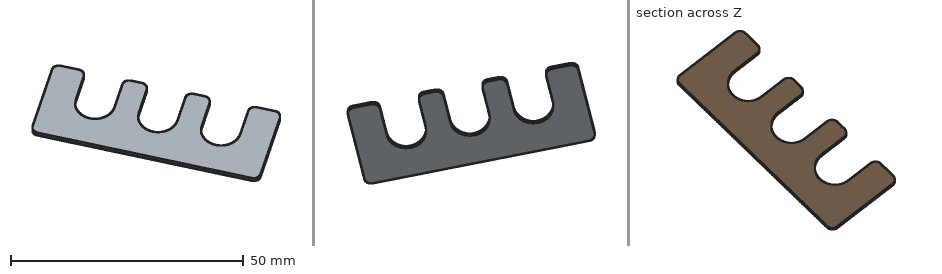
import cadquery as cq

length = 50.8
depth = 19.05
thickness = 1.0
corner_radius = 1.5

slot_count = 3
slot_pitch = 14.0
slot_width = 8.6
slot_depth = 12.3

back_edge = depth / 2
slot_radius = slot_width / 2
slot_arc_center_y = back_edge - slot_depth + slot_radius


def plate():
    return cq.Workplane("XY").box(length, depth, thickness)


def slot_cutter(center_x):
    """Straight-sided slot with a semicircular closed end."""
    return (
        cq.Workplane("XY", origin=(center_x, 0, -thickness / 2))
        .moveTo(-slot_radius, back_edge)
        .lineTo(-slot_radius, slot_arc_center_y)
        .threePointArc((0, back_edge - slot_depth), (slot_radius, slot_arc_center_y))
        .lineTo(slot_radius, back_edge)
        .close()
        .extrude(thickness)
    )


comb = plate()
for index in range(slot_count):
    comb = comb.cut(slot_cutter((index - (slot_count - 1) / 2) * slot_pitch))

outer_corners = comb.edges("|Z").edges("<Y or >Y or <X or >X")
result = outer_corners.fillet(corner_radius)